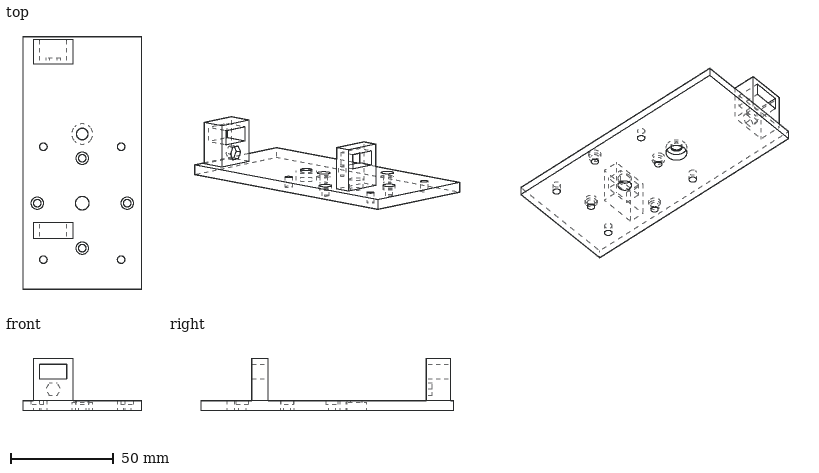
import cadquery as cq

plate_width = 58.0
plate_length = 123.0
plate_thickness = 4.9
total_height = 25.5

post_width = 19.3
post_center_x = -14.1
front_post_depth = 8.0
front_post_y = -32.9
rear_post_depth = 11.9
rear_post_y = 54.1
window_width = 13.2
window_height = 7.0
window_top_wall = 3.0

nut_corner_diameter = 7.3
nut_depth = 3.0
nut_center_height = 5.5

pattern_y = -19.6
center_hole_diameter = 6.5
upper_hole_diameter = 5.5
upper_hole_y = 14.1
underside_bore_diameter = 10.1
upper_hole_lip = 1.0
screw_diameter = 3.6
counterbore_diameter = 6.0
counterbore_depth = 1.8
bolt_circle_radius = 21.9
corner_hole_spacing_x = 37.9
corner_hole_spacing_y = 55.0


def make_plate():
    plate = cq.Workplane("XY").box(
        plate_width, plate_length, plate_thickness, centered=(True, True, False)
    )
    top = plate.faces(">Z").workplane(origin=(0, pattern_y, plate_thickness))
    plate = top.hole(center_hole_diameter)
    top = plate.faces(">Z").workplane(origin=(0, upper_hole_y, plate_thickness))
    plate = top.hole(upper_hole_diameter)
    underside_bore = (
        cq.Workplane("XY", origin=(0, upper_hole_y, 0))
        .circle(underside_bore_diameter / 2)
        .extrude(plate_thickness - upper_hole_lip)
    )
    plate = plate.cut(underside_bore)
    top = plate.faces(">Z").workplane(origin=(0, pattern_y, plate_thickness))
    plate = top.rarray(corner_hole_spacing_x, corner_hole_spacing_y, 2, 2).hole(screw_diameter)
    top = plate.faces(">Z").workplane(origin=(0, pattern_y, plate_thickness))
    return top.polarArray(bolt_circle_radius, 0, 360, 4).cboreHole(
        screw_diameter, counterbore_diameter, counterbore_depth
    )


def make_post(center_y, depth):
    """Rectangular post with a window passing through it along Y."""
    post_height = total_height - plate_thickness
    post = cq.Workplane("XY").box(post_width, depth, post_height, centered=(True, True, False))
    window_bottom = post_height - window_top_wall - window_height
    window = (
        cq.Workplane("XY")
        .box(window_width, depth, window_height, centered=(True, True, False))
        .translate((0, 0, window_bottom))
    )
    return post.cut(window).translate((post_center_x, center_y, plate_thickness))


def make_nut_pocket():
    """Hexagonal prism, corners pointing along X, cut back from the rear post's front face."""
    front_face_y = rear_post_y - rear_post_depth / 2
    pocket_z = plate_thickness + nut_center_height
    return (
        cq.Workplane("XZ", origin=(post_center_x, front_face_y, pocket_z))
        .polygon(6, nut_corner_diameter)
        .extrude(-nut_depth)
    )


front_post = make_post(front_post_y, front_post_depth)
rear_post = make_post(rear_post_y, rear_post_depth).cut(make_nut_pocket())
result = make_plate().union(front_post).union(rear_post)